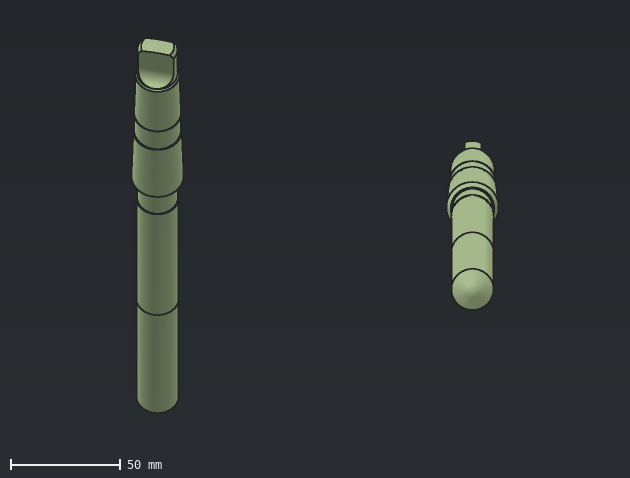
import cadquery as cq
import math

TOTAL_LENGTH = 270.0
POINT_HEIGHT = 3.8
CUTTING_LENGTH = 78.3
BODY_TOP = 154.6
COLLAR_BOTTOM = 168.7
TAPER_BOTTOM = 170.8
RECESS_BOTTOM = 205.5
RECESS_TOP = 219.0
TAPER_TOP = 248.0

DRILL_DIAMETER = 19.5
NECK_DIAMETER = 18.5
COLLAR_DIAMETER = 20.0
TAPER_DIAMETER = 24.0
TAPER_RATIO = 1 / 19.9
RECESS_DIAMETER = 21.3
TANG_DIAMETER = 18.4

TANG_THICKNESS = 7.8
TANG_ANGLE = 41.5
FLAT_BOTTOM = 255.8
RUNOUT_RADIUS = 7.0
END_CONE_HEIGHT = 0.8
END_CHAMFER_WIDTH = 1.5
END_CHAMFER_HEIGHT = 2.0
SHANK_EDGE_HEIGHT = 0.8


def taper_radius(height):
    """Radius of the tapered shank at a given height."""
    return (TAPER_DIAMETER - (height - TAPER_BOTTOM) * TAPER_RATIO) / 2


def revolve_profile(points):
    """Turn a closed (radius, height) outline about the Z axis."""
    return cq.Workplane("XZ").polyline(points).close().revolve(360, (0, 0, 0), (0, 1, 0))


def make_cutting_part():
    """Lower cylinder of the drill with its conical point."""
    radius = DRILL_DIAMETER / 2
    return revolve_profile([
        (0, 0),
        (radius, POINT_HEIGHT),
        (radius, CUTTING_LENGTH),
        (0, CUTTING_LENGTH),
    ])


def make_tang_cutter():
    """Material removed from one side of the tang: a flat with a round run-out."""
    flat = TANG_THICKNESS / 2
    outside = flat + 2 * RUNOUT_RADIUS
    arc_centre = flat + RUNOUT_RADIUS
    arc_bottom = FLAT_BOTTOM - RUNOUT_RADIUS
    diagonal = RUNOUT_RADIUS * math.sqrt(0.5)
    return (
        cq.Workplane("XZ")
        .moveTo(flat, TOTAL_LENGTH)
        .lineTo(flat, FLAT_BOTTOM)
        .threePointArc((arc_centre - diagonal, FLAT_BOTTOM - diagonal), (arc_centre, arc_bottom))
        .lineTo(outside, arc_bottom)
        .lineTo(outside, TOTAL_LENGTH)
        .close()
        .extrude(TAPER_DIAMETER / 2, both=True)
    )


def make_shank():
    """Upper drill body, neck, tapered shank and flattened tang."""
    body = DRILL_DIAMETER / 2
    neck = NECK_DIAMETER / 2
    recess = RECESS_DIAMETER / 2
    tang = TANG_DIAMETER / 2
    end_edge = TOTAL_LENGTH - END_CONE_HEIGHT
    shank = revolve_profile([
        (0, CUTTING_LENGTH),
        (body, CUTTING_LENGTH),
        (body, BODY_TOP),
        (neck, BODY_TOP),
        (neck, COLLAR_BOTTOM),
        (COLLAR_DIAMETER / 2, COLLAR_BOTTOM),
        (taper_radius(TAPER_BOTTOM), TAPER_BOTTOM),
        (taper_radius(RECESS_BOTTOM), RECESS_BOTTOM),
        (recess, RECESS_BOTTOM),
        (recess, RECESS_TOP),
        (taper_radius(RECESS_TOP), RECESS_TOP),
        (taper_radius(TAPER_TOP), TAPER_TOP),
        (tang, TAPER_TOP + SHANK_EDGE_HEIGHT),
        (tang, end_edge - END_CHAMFER_HEIGHT),
        (tang - END_CHAMFER_WIDTH, end_edge),
        (0, TOTAL_LENGTH),
    ])
    for normal_angle in (TANG_ANGLE - 90, TANG_ANGLE + 90):
        shank = shank.cut(make_tang_cutter().rotate((0, 0, 0), (0, 0, 1), normal_angle))
    return shank


cutting_part = make_cutting_part()
shank = make_shank()
result = cq.Compound.makeCompound([cutting_part.val(), shank.val()])